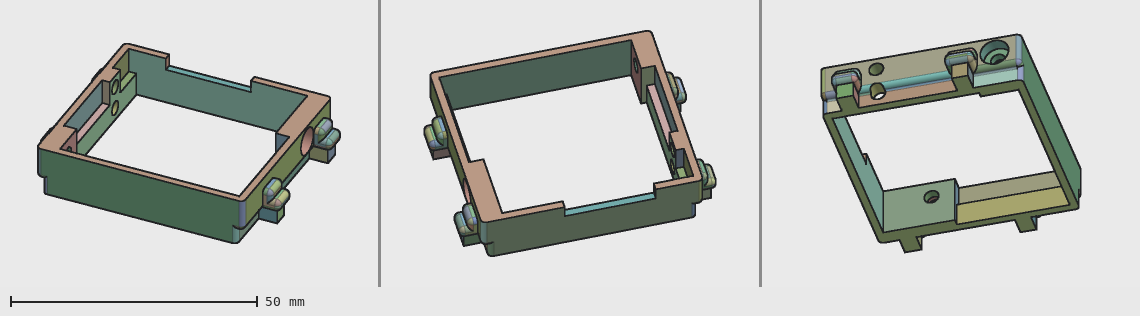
import cadquery as cq
import math

total_length = 53.9
frame_width = 42.2
frame_height = 10.7
corner_radius = 1.0
edge_radius = 1.1

band_length = 46.45
band_bottom = 3.4
side_step = 1.45
skirt_length = band_length - 2 * side_step
skirt_top = band_bottom + 2 * edge_radius
step_fillet = side_step - edge_radius

wall = 1.65
upper_cavity_length = band_length - 2 * wall
cavity_width = frame_width - 2 * wall
left_sill = 1.7
right_sill = 1.55
sill_height = 5.2

left_block_reach = 4.6
left_block_length = 9.65
right_block_reach = 4.75
right_block_length = 16.75
post_y_min = 6.8
post_y_max = 11.8

notch_x_min = -13.25
notch_x_max = 5.8
notch_depth = 2.75

hole_diameter = 3.0
counterbore_diameter = 6.0
counterbore_depth = 2.75
screw_hole_z = 7.1
left_screw_y = -15.65
pin_hole_y = 9.25
right_screw_y = pin_hole_y
upper_pin_z = 8.05
lower_pin_z = 2.9

foot_reach = 25.9
lower_lug_top = 6.1
upper_lug_reach = 25.2
upper_lug_bottom = 3.75
upper_lug_top = 8.15
rear_lug_y = (12.45, 17.9)
rear_foot_y = (13.35, 16.9)
front_foot_y = (-10.8, -7.4)
front_left_lug_y = (-11.95, -6.0)
front_right_lug_y = (-11.95, -6.2)

half_band = band_length / 2
half_cavity = cavity_width / 2


def box_between(x_range, y_range, z_range):
    """Box spanning the given (start, end) ranges."""
    x0, x1 = sorted(x_range)
    y0, y1 = y_range
    z0, z1 = z_range
    return cq.Workplane("XY").box(x1 - x0, y1 - y0, z1 - z0, centered=False).translate((x0, y0, z0))


def hole_along_x(diameter, x_range, y, z):
    """Cylinder parallel to X spanning x_range."""
    x0, x1 = sorted(x_range)
    return cq.Workplane("YZ", origin=(x0, y, z)).circle(diameter / 2).extrude(x1 - x0)


def make_body():
    """Band and skirt joined, with a small fillet under each overhanging step."""
    half_width = frame_width / 2
    band = box_between((-half_band, half_band), (-half_width, half_width), (band_bottom, frame_height))
    band = band.edges("|Z").fillet(corner_radius).faces("<Z").edges().fillet(edge_radius)
    skirt = box_between((-skirt_length / 2, skirt_length / 2), (-half_width, half_width), (0, skirt_top))
    skirt = skirt.edges("|Z").fillet(corner_radius)
    body = band.union(skirt)

    straight = frame_width - 2 * corner_radius
    for side in (-1, 1):
        x_wall = side * skirt_length / 2
        x_tip = x_wall + side * step_fillet
        x_inside = x_wall - side * wall / 2
        z_low = band_bottom - step_fillet
        z_inside = band_bottom + step_fillet
        middle = step_fillet * (1 - math.cos(math.radians(45)))
        gusset = (
            cq.Workplane("XZ", origin=(0, straight / 2, 0))
            .moveTo(x_wall, z_low)
            .threePointArc((x_wall + side * middle, band_bottom - middle), (x_tip, band_bottom))
            .lineTo(x_tip, z_inside)
            .lineTo(x_inside, z_inside)
            .lineTo(x_inside, z_low)
            .close()
            .extrude(straight)
        )
        body = body.union(gusset)
    return body


def make_cavity():
    """Opening with a sill along each end wall, less the blocks and the post."""
    half_upper = upper_cavity_length / 2
    y_range = (-half_cavity, half_cavity)
    through = (0, frame_height)
    upper = box_between((-half_upper, half_upper), y_range, (sill_height, frame_height))
    lower = box_between((left_sill - half_upper, half_upper - right_sill), y_range, through)
    left_block = box_between(
        (-half_band, left_block_reach - half_band),
        (-half_cavity, left_block_length - frame_width / 2),
        through,
    )
    right_block = box_between(
        (half_band - right_block_reach, half_band),
        (frame_width / 2 - right_block_length, half_cavity),
        through,
    )
    post = box_between((-half_band, left_sill - half_upper), (post_y_min, post_y_max), through)
    return upper.union(lower).cut(left_block).cut(right_block).cut(post)


def make_notch():
    return box_between(
        (notch_x_min, notch_x_max),
        (half_cavity, frame_width / 2),
        (frame_height - notch_depth, frame_height),
    )


def make_clip(side, lug_y, foot_y):
    """Clip on the -X end (side = -1) or the +X end (side = 1)."""
    root = side * (half_band - wall)
    foot = box_between((root, side * foot_reach), foot_y, (0, lower_lug_top - edge_radius))
    lower_lug = box_between((root, side * total_length / 2), lug_y, (band_bottom, lower_lug_top))
    upper_lug = box_between((root, side * upper_lug_reach), lug_y, (upper_lug_bottom, upper_lug_top))
    outer_face = ">X" if side > 0 else "<X"
    lower_lug = lower_lug.edges("|X").fillet(edge_radius).faces(outer_face).edges().fillet(edge_radius)
    upper_lug = upper_lug.edges("|X").fillet(edge_radius).faces(outer_face).edges().fillet(edge_radius)
    inner_space = box_between((-half_band, half_band), lug_y, (band_bottom + edge_radius, frame_height))
    return foot.union(lower_lug).union(upper_lug).cut(inner_space)


def make_screw_hole(side, y):
    """Counterbored hole through the block on one end."""
    outer = side * half_band
    hole = hole_along_x(hole_diameter, (0, outer), y, screw_hole_z)
    bore = hole_along_x(counterbore_diameter, (outer - side * counterbore_depth, outer), y, screw_hole_z)
    return hole.union(bore)


result = make_body()
for side, front_lug_y in ((-1, front_left_lug_y), (1, front_right_lug_y)):
    result = result.union(make_clip(side, rear_lug_y, rear_foot_y))
    result = result.union(make_clip(side, front_lug_y, front_foot_y))
result = result.cut(make_cavity()).cut(make_notch())
result = result.cut(make_screw_hole(-1, left_screw_y))
result = result.cut(make_screw_hole(1, right_screw_y))
for pin_z in (upper_pin_z, lower_pin_z):
    result = result.cut(hole_along_x(hole_diameter, (-half_band, 0), pin_hole_y, pin_z))